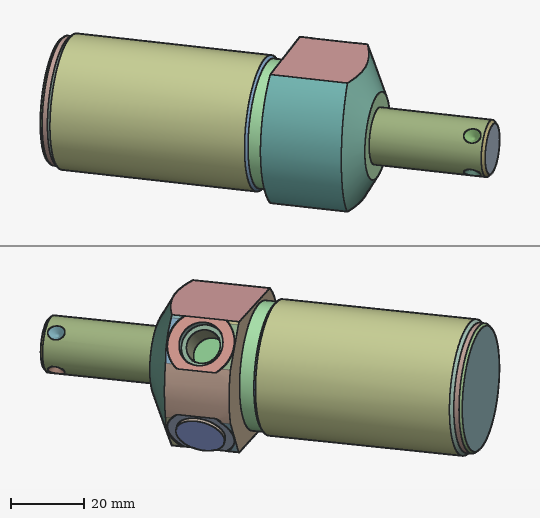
import cadquery as cq
import math

total_length = 124.0
head_start = 63.6
head_end = 91.1

body_radius = 18.8
neck_radius = 18.0
rear_chamfer_length = 0.7
rear_chamfer_depth = 0.6
rear_cone_start = 2.2
body_start = 3.2
body_end = 58.8
neck_start = 59.5

head_radius = 23.8
head_offset = 4.0
head_height = 38.1
cone_tip_radius = 12.2
cone_angle = 30.0

rod_radius = 7.9
rod_chamfer = 0.9
dimple_diameter = 4.8
dimple_depth = 2.4
dimple_x = 119.9
dimple_count = 4

port_angle = 35.0
port_distance = 26.2
port_x = 73.3
port_shift = -2.2
spotface_diameter = 19.0
spotface_depth = 0.4
counterbore_diameter = 12.4
counterbore_depth = 3.0
port_diameter = 9.5
port_depth = 11.2
plug_diameter = 13.8
plug_height = 0.6


def port_plane(side):
    """Plane on a slanted port face at the port center, normal outward; side is +1 or -1 in Z."""
    angle = math.radians(port_angle)
    y = port_distance * math.cos(angle) - port_shift * math.sin(angle)
    z = port_distance * math.sin(angle) + port_shift * math.cos(angle)
    normal = (0, math.cos(angle), side * math.sin(angle))
    return cq.Workplane(cq.Plane((port_x, y, side * z), (1, 0, 0), normal))


def make_body():
    """Turned body, including the part hidden inside the head."""
    profile = [
        (0, 0),
        (0, neck_radius - rear_chamfer_depth),
        (rear_chamfer_length, neck_radius),
        (rear_cone_start, neck_radius),
        (body_start, body_radius),
        (body_end, body_radius),
        (neck_start, neck_radius),
        (head_start, neck_radius),
        (head_end, cone_tip_radius),
        (head_end, 0),
    ]
    return cq.Workplane("XY").polyline(profile).close().revolve(360, (0, 0, 0), (1, 0, 0))


def make_head():
    """Eccentric head with top and bottom flats, slanted port faces and a coned front."""
    length = head_end - head_start
    width = 2 * head_radius
    head = cq.Workplane("YZ", origin=(head_start, head_offset, 0)).circle(head_radius).extrude(length)
    flats = cq.Workplane("YZ", origin=(head_start, head_offset, 0)).rect(width, head_height).extrude(length)
    head = head.intersect(flats)

    for side in (1, -1):
        head = head.cut(port_plane(side).rect(2 * length, width).extrude(head_radius))

    cone_base_radius = head_radius + head_offset
    cone_length = (cone_base_radius - cone_tip_radius) * math.tan(math.radians(cone_angle))
    envelope = (
        cq.Workplane("XY")
        .moveTo(head_start, 0)
        .lineTo(head_start, cone_base_radius)
        .lineTo(head_end - cone_length, cone_base_radius)
        .lineTo(head_end, cone_tip_radius)
        .lineTo(head_end, 0)
        .close()
        .revolve(360, (0, 0, 0), (1, 0, 0))
    )
    return head.intersect(envelope)


def make_rod():
    """Chamfered rod with evenly spaced conical dimples around its free end."""
    rod = cq.Workplane("YZ", origin=(head_end, 0, 0)).circle(rod_radius).extrude(total_length - head_end)
    rod = rod.faces(">X").chamfer(rod_chamfer)
    apex = cq.Vector(dimple_x, 0, rod_radius - dimple_depth)
    dimple = cq.Workplane("XY").add(
        cq.Solid.makeCone(0, dimple_diameter, 2 * dimple_depth, apex, cq.Vector(0, 0, 1))
    )
    for index in range(dimple_count):
        tilt = (index + 0.5) * 360 / dimple_count
        rod = rod.cut(dimple.rotate((0, 0, 0), (1, 0, 0), tilt))
    return rod


def cut_port(part):
    """Shallow spotface on both slanted faces, with a counterbored port in the upper one."""
    for side in (1, -1):
        part = part.cut(port_plane(side).circle(spotface_diameter / 2).extrude(-spotface_depth))
    for diameter, depth in (
        (counterbore_diameter, counterbore_depth),
        (port_diameter, port_depth),
    ):
        part = part.cut(port_plane(1).circle(diameter / 2).extrude(-depth))
    return part


def make_plug():
    """Plug disk that rises from the lower spotface and stands proud of the slanted face."""
    base = port_plane(-1).workplane(offset=-spotface_depth)
    return base.circle(plug_diameter / 2).extrude(spotface_depth + plug_height)


blank = make_body().union(make_head()).union(make_rod())
result = cut_port(blank).union(make_plug())